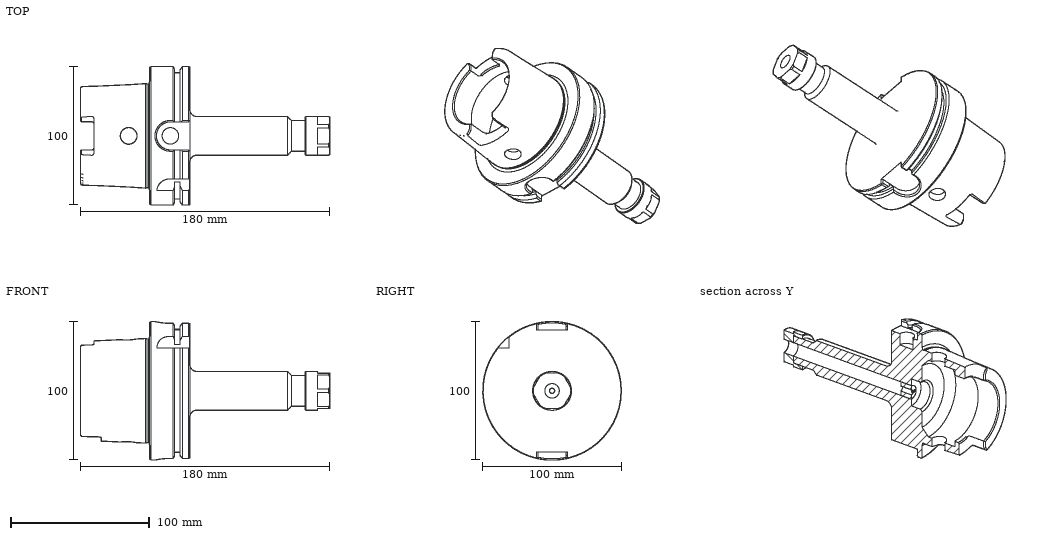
import cadquery as cq
import math


overall_length = 180.0
gauge_x = 50.0
flange_end_x = 79.0
shank_end_x = 149.4
nut_start_x = 162.2
hex_start_x = 171.2

taper_mouth_radius = 35.6
taper_end_radius = 37.8
taper_end_x = 47.2
taper_edge_fillet = 1.8
relief_radius = 37.5
relief_start_x = 48.2
relief_end_x = 49.3
relief_outer_radius = 39.6

mouth_radius = 26.3
mouth_chamfer = 0.9
mouth_land_depth = 19.5
undercut_radius = 30.6
undercut_end_x = 44.1
bore_floor_radius = 24.7
bore_depth = gauge_x
recess_radius = 10.6
recess_chamfer = 1.6
recess_depth = 10.0

drive_slot_half_width = 10.0
drive_slot_flare_start = 27.7
drive_slot_flare_radius = 5.8
drive_slot_floor_fillet = 1.6
upper_drive_slot_depth = 9.9
lower_drive_slot_depth = 15.1

cross_hole_x = 35.0
cross_hole_radius = 6.0

flange_radius = 50.0
front_rim_axial = 1.0
front_rim_radial = 0.7
rear_rim_axial = 1.0
rear_rim_radial = 0.4
groove_radius = 45.5
groove_floor_start_x = 68.0
groove_floor_end_x = 71.8
groove_front_chamfer_axial = 1.0
groove_front_chamfer_radial = 2.0
groove_rear_chamfer_axial = 1.8
groove_rear_chamfer_radial = 2.5

keyway_floor_height = 44.0
keyway_half_width = 10.0
keyway_centre_x = 65.0
keyway_edge_chamfer = 1.0
chip_hole_radius = 6.0
chip_hole_depth = 9.0
notch_offset = keyway_floor_height / math.sqrt(2)
notch_end_radius = 9.4
notch_centre_x = 64.5

shank_radius = 14.0
shank_root_fillet = 5.0
nose_radius = 11.2
through_bore_radius = 5.2

nut_radius = shank_radius
nut_rear_chamfer = 0.5
hex_across_flats = 25.5
flat_up_angle = 30.0
nut_end_chamfer_axial = 1.0
nut_end_chamfer_radial = 0.5

screw_length = 10.0
screw_slot_half_width = 0.81
screw_slot_depth = 1.5
screw_hole_radius = 1.8


def revolve_about_axis(profile):
    """Turn a closed half profile, drawn as (X, radius), about the X axis."""
    return profile.close().revolve(360, (0, 0), (1, 0))


def cylinder_along_axis(radius, start_x, end_x):
    return cq.Workplane("YZ", origin=(start_x, 0, 0)).circle(radius).extrude(end_x - start_x)


def make_spigot():
    slope = (taper_end_radius - taper_mouth_radius) / taper_end_x
    fillet_end_radius = taper_mouth_radius + slope * taper_edge_fillet
    fillet_start_radius = fillet_end_radius - taper_edge_fillet
    diagonal = taper_edge_fillet * (1 - math.sqrt(0.5))
    return revolve_about_axis(
        cq.Workplane("XZ")
        .lineTo(0, fillet_start_radius)
        .threePointArc((diagonal, fillet_end_radius - diagonal), (taper_edge_fillet, fillet_end_radius))
        .lineTo(taper_end_x, taper_end_radius)
        .lineTo(relief_start_x, relief_radius)
        .lineTo(relief_end_x, relief_radius)
        .lineTo(gauge_x, relief_outer_radius)
        .lineTo(gauge_x, 0)
    )


def make_shank():
    nose_start_x = shank_end_x + shank_radius - nose_radius
    root_end_x = flange_end_x + shank_root_fillet
    diagonal = shank_root_fillet * (1 - math.sqrt(0.5))
    return revolve_about_axis(
        cq.Workplane("XZ")
        .moveTo(flange_end_x, 0)
        .lineTo(flange_end_x, shank_radius + shank_root_fillet)
        .threePointArc((flange_end_x + diagonal, shank_radius + diagonal), (root_end_x, shank_radius))
        .lineTo(shank_end_x, shank_radius)
        .lineTo(nose_start_x, nose_radius)
        .lineTo(hex_start_x, nose_radius)
        .lineTo(hex_start_x, 0)
    )


def make_rim_profile():
    """Turned outline of the flange: rim chamfers and the gripper groove."""
    return revolve_about_axis(
        cq.Workplane("XZ")
        .moveTo(gauge_x, 0)
        .lineTo(gauge_x, flange_radius - front_rim_radial)
        .lineTo(gauge_x + front_rim_axial, flange_radius)
        .lineTo(groove_floor_start_x - groove_front_chamfer_axial, flange_radius)
        .lineTo(groove_floor_start_x, flange_radius - groove_front_chamfer_radial)
        .lineTo(groove_floor_start_x, groove_radius)
        .lineTo(groove_floor_end_x, groove_radius)
        .lineTo(groove_floor_end_x, flange_radius - groove_rear_chamfer_radial)
        .lineTo(groove_floor_end_x + groove_rear_chamfer_axial, flange_radius)
        .lineTo(flange_end_x - rear_rim_axial, flange_radius)
        .lineTo(flange_end_x, flange_radius - rear_rim_radial)
        .lineTo(flange_end_x, 0)
    )


def make_keyway_cutter():
    """Slot along +Z with one round end, open through the rear face of the flange."""
    return (
        cq.Workplane("XY", origin=(0, 0, keyway_floor_height))
        .moveTo(flange_end_x, -keyway_half_width)
        .lineTo(keyway_centre_x, -keyway_half_width)
        .threePointArc((keyway_centre_x - keyway_half_width, 0), (keyway_centre_x, keyway_half_width))
        .lineTo(flange_end_x, keyway_half_width)
        .close()
        .extrude(flange_radius)
    )


def is_keyway_top_edge(edge):
    centre = edge.Center()
    return abs(centre.y) < keyway_half_width + 0.2 and abs(centre.z) > keyway_floor_height + 1.8


def make_notch_cutter():
    """Right-angled notch between -Y and +Z, rounded at its closed end by an upright mill."""
    wall_y = -notch_offset
    return (
        cq.Workplane("XY", origin=(0, 0, notch_offset))
        .moveTo(flange_end_x, wall_y)
        .lineTo(notch_centre_x, wall_y)
        .radiusArc((notch_centre_x - notch_end_radius, wall_y - notch_end_radius), -notch_end_radius)
        .lineTo(notch_centre_x - notch_end_radius, -flange_radius)
        .lineTo(flange_end_x, -flange_radius)
        .close()
        .extrude(flange_radius)
    )


def make_flange():
    disc = cylinder_along_axis(flange_radius, gauge_x, flange_end_x)
    keyway = make_keyway_cutter()
    disc = disc.cut(keyway).cut(keyway.rotate((0, 0, 0), (1, 0, 0), 180))
    top_edges = [edge for edge in disc.edges().vals() if is_keyway_top_edge(edge)]
    disc = disc.newObject(top_edges).chamfer(keyway_edge_chamfer)
    chip_hole = (
        cq.Workplane("XY", origin=(keyway_centre_x, 0, keyway_floor_height - chip_hole_depth))
        .circle(chip_hole_radius)
        .extrude(chip_hole_depth)
    )
    return disc.intersect(make_rim_profile()).cut(chip_hole).cut(make_notch_cutter())


def drive_slot_outline(widening):
    """Cross-section of a drive slot, flaring outward, with its sides moved out by `widening`."""
    half_width = drive_slot_half_width + widening
    flare_radius = drive_slot_flare_radius - widening
    flare_top = drive_slot_flare_start + flare_radius
    outer_half_width = half_width + flare_radius
    slot_top = taper_end_radius + 1.8
    return (
        cq.Workplane("YZ")
        .moveTo(-half_width, 0)
        .lineTo(-half_width, drive_slot_flare_start)
        .radiusArc((-outer_half_width, flare_top), -flare_radius)
        .lineTo(-outer_half_width, slot_top)
        .lineTo(outer_half_width, slot_top)
        .lineTo(outer_half_width, flare_top)
        .radiusArc((half_width, drive_slot_flare_start), -flare_radius)
        .lineTo(half_width, 0)
        .close()
    )


def make_drive_slot_cutter(depth):
    slot = drive_slot_outline(0).extrude(depth).faces(">X").edges().fillet(drive_slot_floor_fillet)
    edge_bevel = drive_slot_outline(mouth_chamfer).extrude(mouth_chamfer, taper=45)
    return slot.union(edge_bevel).union(make_slot_floor_bevel(depth))


def make_slot_floor_bevel(depth):
    """Conical bevel where the flat floor of a drive slot meets the mouth bore."""
    floor_width = 2 * (drive_slot_half_width - drive_slot_floor_fillet)
    cone = (
        cq.Workplane("YZ", origin=(depth, 0, 0))
        .circle(mouth_radius + mouth_chamfer)
        .extrude(mouth_chamfer, taper=45)
    )
    floor_strip = (
        cq.Workplane("YZ", origin=(depth, 0, taper_end_radius / 2))
        .rect(floor_width, taper_end_radius)
        .extrude(mouth_chamfer)
    )
    return cone.intersect(floor_strip)


def make_bore_cutter():
    recess_end_x = bore_depth + recess_depth
    return revolve_about_axis(
        cq.Workplane("XZ")
        .lineTo(0, mouth_radius + mouth_chamfer)
        .lineTo(mouth_chamfer, mouth_radius)
        .lineTo(mouth_land_depth, mouth_radius)
        .lineTo(mouth_land_depth, undercut_radius)
        .lineTo(undercut_end_x, undercut_radius)
        .lineTo(bore_depth, bore_floor_radius)
        .lineTo(bore_depth, recess_radius + recess_chamfer)
        .lineTo(bore_depth + recess_chamfer, recess_radius)
        .lineTo(recess_end_x, recess_radius)
        .lineTo(recess_end_x, 0)
    )


def make_holder():
    body = make_spigot().union(make_flange()).union(make_shank())
    cross_hole = (
        cq.Workplane("XY", origin=(cross_hole_x, 0, 0))
        .circle(cross_hole_radius)
        .extrude(flange_radius, both=True)
    )
    lower_slot = make_drive_slot_cutter(lower_drive_slot_depth).rotate((0, 0, 0), (1, 0, 0), 180)
    body = body.cut(make_bore_cutter())
    body = body.cut(cylinder_along_axis(through_bore_radius, bore_depth, hex_start_x))
    body = body.cut(make_drive_slot_cutter(upper_drive_slot_depth)).cut(lower_slot)
    return body.cut(cross_hole)


def make_nut():
    """Round collar with a hexagonal end, bored to sit on the nose of the holder."""
    turned = revolve_about_axis(
        cq.Workplane("XZ")
        .moveTo(nut_start_x, 0)
        .lineTo(nut_start_x, nut_radius - nut_rear_chamfer)
        .lineTo(nut_start_x + nut_rear_chamfer, nut_radius)
        .lineTo(overall_length - nut_end_chamfer_axial, nut_radius)
        .lineTo(overall_length, nut_radius - nut_end_chamfer_radial)
        .lineTo(overall_length, 0)
    )
    hexagon = (
        cq.Workplane("YZ", origin=(hex_start_x, 0, 0))
        .polygon(6, hex_across_flats, circumscribed=True)
        .extrude(overall_length - hex_start_x)
        .rotate((0, 0, 0), (1, 0, 0), flat_up_angle)
    )
    collar = cylinder_along_axis(nut_radius, nut_start_x, hex_start_x)
    nut = turned.intersect(collar.union(hexagon))
    nut = nut.cut(cylinder_along_axis(nose_radius, nut_start_x, hex_start_x))
    return nut.cut(cylinder_along_axis(through_bore_radius, hex_start_x, overall_length))


def make_stop_screw():
    """Hollow screw with a driver slot across its head, flush with the recess floor."""
    start_x = bore_depth + recess_depth
    screw = cylinder_along_axis(through_bore_radius, start_x, start_x + screw_length)
    driver_slot = cq.Workplane("XY").box(
        2 * screw_slot_depth, 2 * through_bore_radius, 2 * screw_slot_half_width
    ).translate((start_x, 0, 0))
    screw = screw.cut(driver_slot)
    return screw.cut(cylinder_along_axis(screw_hole_radius, start_x, start_x + screw_length))


holder = make_holder()
nut = make_nut()
stop_screw = make_stop_screw()

result = cq.Compound.makeCompound([holder.val(), nut.val(), stop_screw.val()])